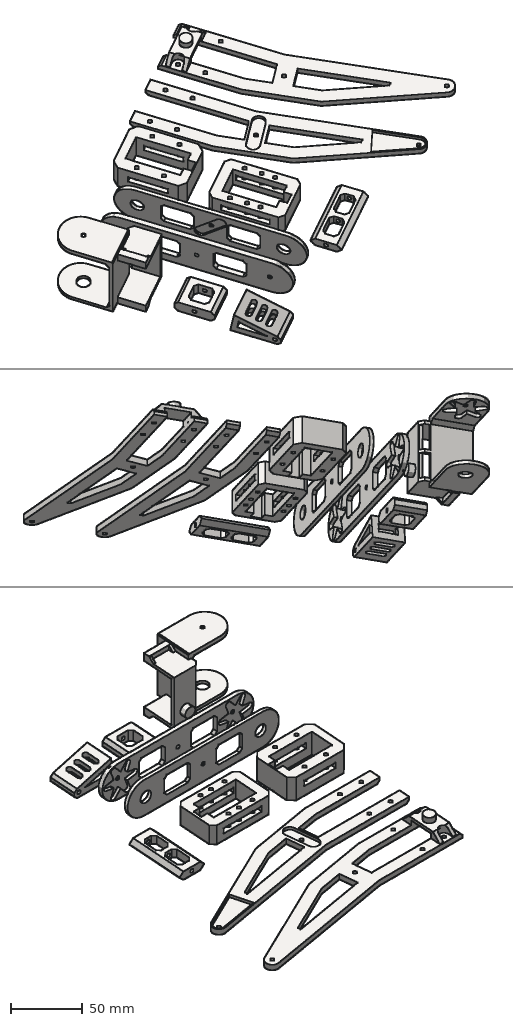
import cadquery as cq
import math

SCREW_D = 3.0
PIVOT_D = 10.0
PIN_D = 9.5
PIN_LENGTH = 5.0
CUT = 84.0
LIFT = 0.8


def box(x_range, y_range, z_range):
    """Block between the given limits."""
    size = [high - low for low, high in (x_range, y_range, z_range)]
    return cq.Workplane("XY").box(*size, centered=False).translate((x_range[0], y_range[0], z_range[0]))


def prism_z(points, bottom, top):
    """Outline in X and Y, extruded from bottom to top."""
    return cq.Workplane("XY").workplane(offset=bottom).polyline(points).close().extrude(top - bottom)


def prism_y(points, start, end):
    """Outline in X and Z, extruded along Y from start to end."""
    return cq.Workplane("XZ", origin=(0, start, 0)).polyline(points).close().extrude(start - end)


def rod_z(diameter, x, y, bottom, top):
    return cq.Workplane("XY", origin=(x, y, bottom)).circle(diameter / 2).extrude(top - bottom)


def rod_y(diameter, x, z, start, end):
    return cq.Workplane("XZ", origin=(x, start, z)).circle(diameter / 2).extrude(start - end)


def polar(center, radius, degrees):
    """Point at the given distance and direction from a center."""
    angle = math.radians(degrees)
    return (center[0] + radius * math.cos(angle), center[1] + radius * math.sin(angle))


def crossing(p, p_degrees, q, q_degrees):
    """Point where the line through p meets the line through q."""
    a, b = math.radians(p_degrees), math.radians(q_degrees)
    reach = ((q[0] - p[0]) * math.sin(b) - (q[1] - p[1]) * math.cos(b)) / math.sin(b - a)
    return polar(p, reach, p_degrees)


ARM_T = 5.0
ARM_SPAN = 40.3
RAIL_W = 10.0
ARM_BEND = 10.0
TIP = (196.0, 55.0)
TIP_R = 6.0
LOWER_BEND_X = 62.5
LOWER_KNEE_X = 119.0
CROSSBAR_X = 77.8
CROSSBAR_W = 14.8
CROSSBAR_HOLE = (86.2, 22.0)
UPPER_RAIL_W = 10.5
OPENING_END_X = 158.2
ARM_HOLE_X = (13.2, 33.5)
ARM_HOLE_PITCH = 30.2
ARM_END_BEVEL = 2.5
LOWER_ARM_Y = 164.5
ARM_STEP_Y = 55.0
UPPER_ARM_Y = LOWER_ARM_Y + ARM_STEP_Y

LOWER_KNEE = (LOWER_KNEE_X, (LOWER_KNEE_X - LOWER_BEND_X) * math.tan(math.radians(ARM_BEND)))
TIP_DX = TIP[0] - LOWER_KNEE[0]
TIP_DY = TIP[1] - LOWER_KNEE[1]
TIP_EDGE = math.degrees(math.atan2(TIP_DY, TIP_DX) - math.asin(TIP_R / math.hypot(TIP_DX, TIP_DY)))
ARM_HOLE_Y = [ARM_SPAN / 2 + side * ARM_HOLE_PITCH / 2 for side in (-1, 1)]


def arm_outline():
    upper_tangent = polar(TIP, TIP_R, ARM_BEND + 90)
    lower_tangent = polar(TIP, TIP_R, TIP_EDGE - 90)
    upper_bend = crossing((0, ARM_SPAN), 0, upper_tangent, ARM_BEND)
    return (
        cq.Workplane("XY")
        .polyline([(0, ARM_SPAN), (0, 0), (LOWER_BEND_X, 0), LOWER_KNEE, lower_tangent])
        .threePointArc(polar(TIP, TIP_R, (ARM_BEND + TIP_EDGE) / 2), upper_tangent)
        .lineTo(*upper_bend)
        .close()
        .extrude(ARM_T)
    )


def arm_openings():
    """Mouth between the straight rails, and the closed opening past the crossbar."""
    across = ARM_BEND - 90
    crossbar_left = (CROSSBAR_X, ARM_SPAN - RAIL_W)
    crossbar_right = polar(crossbar_left, CROSSBAR_W, ARM_BEND)
    lower_line = polar((LOWER_BEND_X, 0), RAIL_W, ARM_BEND + 90)
    upper_line = polar(TIP, TIP_R - UPPER_RAIL_W, ARM_BEND + 90)
    tip_line = polar(TIP, TIP_R - RAIL_W, TIP_EDGE - 90)
    mouth = [
        (0, RAIL_W),
        crossing((0, RAIL_W), 0, lower_line, ARM_BEND),
        crossing(crossbar_left, across, lower_line, ARM_BEND),
        crossbar_left,
        (0, ARM_SPAN - RAIL_W),
    ]
    closed = [
        crossing(crossbar_right, across, upper_line, ARM_BEND),
        crossing(crossbar_right, across, lower_line, ARM_BEND),
        crossing(lower_line, ARM_BEND, tip_line, TIP_EDGE),
        crossing((OPENING_END_X, 0), 90, tip_line, TIP_EDGE),
        crossing((OPENING_END_X, 0), 90, upper_line, ARM_BEND),
    ]
    return prism_z(mouth, 0, ARM_T).union(prism_z(closed, 0, ARM_T))


def arm_blank():
    arm = arm_outline().cut(arm_openings())
    spots = [TIP, CROSSBAR_HOLE] + [(x, y) for x in ARM_HOLE_X for y in ARM_HOLE_Y]
    for x, y in spots:
        arm = arm.cut(rod_z(SCREW_D, x, y, 0, ARM_T))
    return arm


def arm_end_bevel(edge_z):
    """Corner wedge to remove along the rail ends, at the top or bottom edge."""
    inward = ARM_T / 2 - edge_z
    corner = [
        (0, edge_z),
        (ARM_END_BEVEL, edge_z),
        (0, edge_z + math.copysign(ARM_END_BEVEL, inward)),
    ]
    return prism_y(corner, 0, ARM_SPAN)


BRIDGE_W = 15.7
BRIDGE_TOP = 12.0
BRIDGE_PLATE_T = 2.8
BRIDGE_INSET = 0.8
SCREW_SEAT_D = 9.0


def bridge():
    middle_x = ARM_HOLE_X[0]
    middle_y = ARM_SPAN / 2
    rise = BRIDGE_TOP - ARM_T
    left = middle_x - BRIDGE_W / 2
    profile = [
        (BRIDGE_INSET, ARM_T),
        (BRIDGE_INSET + rise, BRIDGE_TOP),
        (ARM_SPAN - BRIDGE_INSET - rise, BRIDGE_TOP),
        (ARM_SPAN - BRIDGE_INSET, ARM_T),
        (ARM_SPAN - RAIL_W, ARM_T),
        (ARM_SPAN - RAIL_W, BRIDGE_TOP - BRIDGE_PLATE_T),
        (RAIL_W, BRIDGE_TOP - BRIDGE_PLATE_T),
        (RAIL_W, ARM_T),
    ]
    body = cq.Workplane("YZ", origin=(left, 0, 0)).polyline(profile).close().extrude(BRIDGE_W)
    for y, outer in zip(ARM_HOLE_Y, (0, ARM_SPAN)):
        body = body.cut(rod_z(SCREW_SEAT_D, middle_x, y, ARM_T, BRIDGE_TOP))
        seat_x = (middle_x - SCREW_SEAT_D / 2, middle_x + SCREW_SEAT_D / 2)
        body = body.cut(box(seat_x, sorted((y, outer)), (ARM_T, BRIDGE_TOP)))
    return body.union(rod_z(PIN_D, middle_x, middle_y, BRIDGE_TOP - BRIDGE_PLATE_T, BRIDGE_TOP + PIN_LENGTH))


ARM_RECESS = 2.5
TIP_WALL = 1.0
TIP_RECESS_LENGTH = 33.0
ARM_SLOT_W = 10.0
ARM_SLOT_LENGTH = 30.8


def tip_recess():
    radius = TIP_R - TIP_WALL
    axis = (ARM_BEND + TIP_EDGE) / 2
    heel = polar(TIP, -TIP_RECESS_LENGTH, axis)
    upper_tangent = polar(TIP, radius, ARM_BEND + 90)
    lower_tangent = polar(TIP, radius, TIP_EDGE - 90)
    return (
        cq.Workplane("XY", origin=(0, 0, ARM_T - ARM_RECESS))
        .polyline([
            upper_tangent,
            crossing(heel, axis + 90, upper_tangent, ARM_BEND),
            crossing(heel, axis + 90, lower_tangent, TIP_EDGE),
            lower_tangent,
        ])
        .threePointArc(polar(TIP, radius, axis), upper_tangent)
        .close()
        .extrude(ARM_RECESS)
    )


def crossbar_slot():
    return (
        cq.Workplane("XY", origin=(*CROSSBAR_HOLE, ARM_T - ARM_RECESS))
        .slot2D(ARM_SLOT_LENGTH, ARM_SLOT_W, ARM_BEND - 90)
        .extrude(ARM_RECESS)
    )


def upper_arm():
    return arm_blank().cut(arm_end_bevel(ARM_T)).union(bridge()).translate((0, UPPER_ARM_Y, 0))


def lower_arm():
    arm = arm_blank().cut(arm_end_bevel(0)).cut(tip_recess()).cut(crossbar_slot())
    return arm.translate((0, LOWER_ARM_Y, 0))


FRAME_MIDDLE_Y = 130.0
SERVO_W = 20.7
CABLE_W = 8.0
SIDE_SLOT_H = 4.8


def servo_frame(x_range, width, top, corner, servo_x, cable_x, hole_xs, hole_pitch, slot_x, slot_z):
    half = width / 2
    frame = box(x_range, (FRAME_MIDDLE_Y - half, FRAME_MIDDLE_Y + half), (LIFT, top))
    frame = frame.edges("|Z").chamfer(corner)
    servo_y = (FRAME_MIDDLE_Y - SERVO_W / 2, FRAME_MIDDLE_Y + SERVO_W / 2)
    cable_y = (FRAME_MIDDLE_Y - CABLE_W / 2, FRAME_MIDDLE_Y + CABLE_W / 2)
    frame = frame.cut(box(servo_x, servo_y, (LIFT, top)))
    frame = frame.cut(box((servo_x[1], cable_x), cable_y, (LIFT, top)))
    for x in hole_xs:
        for side in (-1, 1):
            y = FRAME_MIDDLE_Y + side * hole_pitch / 2
            frame = frame.cut(rod_z(SCREW_D, x, y, LIFT, top))
    return frame.cut(box(slot_x, (FRAME_MIDDLE_Y - half, FRAME_MIDDLE_Y + half), (slot_z, slot_z + SIDE_SLOT_H)))


def wide_frame():
    return servo_frame(
        x_range=(7.0, 62.2), width=40.0, top=21.5, corner=4.8, servo_x=(14.0, 55.2), cable_x=61.3,
        hole_xs=(24.5, 44.8), hole_pitch=30.2, slot_x=(19.5, 49.5), slot_z=9.5,
    )


def narrow_frame():
    return servo_frame(
        x_range=(78.7, 135.8), width=37.0, top=18.0, corner=3.5, servo_x=(86.8, 127.5), cable_x=133.3,
        hole_xs=(94.0, 107.0, 117.0), hole_pitch=28.5, slot_x=(88.8, 125.5), slot_z=7.0,
    )


LINK_MIDDLE_X = 90.5
LINK_LENGTH = 145.0
LINK_H = 32.0
LINK_AXIS_PITCH = 110.0
LINK_AXIS_Z = LIFT + LINK_H / 2
LINK_AXES = [LINK_MIDDLE_X + side * LINK_AXIS_PITCH / 2 for side in (-1, 1)]
LINK_WINDOW = (25.0, 17.5)
LINK_WINDOW_OFFSET = 25.0
LINK_WINDOW_CORNER = 2.5
FRONT_LINK_Y = (60.0, 63.8)
BACK_LINK_Y = (86.8, 90.0)
LINK_SLOT_W = 8.5
LINK_SLOT_LENGTH = 30.8
LINK_SLOT_TILT = 45.0
LINK_SLOT_DEPTH = 1.7

HORN_ARMS = 6
HORN_NOTCH_R = 7.5
HORN_TIP_R = 16.0
HORN_TIP_HALF_W = 2.5
HORN_SKIN = 1.0


def horn(plane, depth):
    """Six tapered round-ended arms around the plane's origin."""
    step = 360 / HORN_ARMS
    outline = plane.moveTo(*polar((0, 0), HORN_NOTCH_R, -step / 2))
    for arm in range(HORN_ARMS):
        direction = arm * step
        tip_center = polar((0, 0), HORN_TIP_R - HORN_TIP_HALF_W, direction)
        outline = (
            outline
            .lineTo(*polar(tip_center, HORN_TIP_HALF_W, direction - 90))
            .threePointArc(
                polar(tip_center, HORN_TIP_HALF_W, direction),
                polar(tip_center, HORN_TIP_HALF_W, direction + 90),
            )
            .lineTo(*polar((0, 0), HORN_NOTCH_R, direction + step / 2))
        )
    return outline.close().extrude(depth)


def link_blank(y_range, axis_hole_d):
    """Round-ended plate with two windows, two axis holes and a middle screw hole."""
    start, end = y_range
    link = (
        cq.Workplane("XZ", origin=(LINK_MIDDLE_X, start, LINK_AXIS_Z))
        .slot2D(LINK_LENGTH, LINK_H)
        .extrude(start - end)
    )
    for side in (-1, 1):
        window = (
            cq.Workplane("XZ", origin=(LINK_MIDDLE_X + side * LINK_WINDOW_OFFSET, start, LINK_AXIS_Z))
            .rect(*LINK_WINDOW)
            .extrude(start - end)
            .edges("|Y")
            .chamfer(LINK_WINDOW_CORNER)
        )
        link = link.cut(window)
    for x in LINK_AXES:
        link = link.cut(rod_y(axis_hole_d, x, LINK_AXIS_Z, start, end))
    return link.cut(rod_y(SCREW_D, LINK_MIDDLE_X, LINK_AXIS_Z, start, end))


def front_link():
    link = link_blank(FRONT_LINK_Y, SCREW_D)
    depth = FRONT_LINK_Y[1] - FRONT_LINK_Y[0] - HORN_SKIN
    for x in LINK_AXES:
        link = link.cut(horn(cq.Workplane("XZ", origin=(x, FRONT_LINK_Y[1], LINK_AXIS_Z)), depth))
    return link


def back_link():
    slot = (
        cq.Workplane("XZ", origin=(LINK_MIDDLE_X, BACK_LINK_Y[0], LINK_AXIS_Z))
        .slot2D(LINK_SLOT_LENGTH, LINK_SLOT_W, LINK_SLOT_TILT)
        .extrude(-LINK_SLOT_DEPTH)
    )
    return link_blank(BACK_LINK_Y, PIVOT_D).cut(slot)


HIP_W = 32.0
HIP_Z = (5.0, 59.5)
HIP_LEFT_X = 4.2
HIP_AXIS_X = 22.5
HIP_WALL_X = (48.0, 50.7)
HIP_TOP_T = 4.0
HIP_BOTTOM_T = 2.8
HIP_TOP_BEVEL = 3.0
HIP_BOTTOM_BEVEL = 2.0
HIP_OUTER_BEVEL = 0.8


def hip_fork():
    """Two round-ended plates joined by an upright wall, with beveled inside corners."""
    bottom, top = HIP_Z
    inner_bottom = bottom + HIP_BOTTOM_T
    inner_top = top - HIP_TOP_T
    inner_x, outer_x = HIP_WALL_X
    profile = [
        (HIP_LEFT_X, bottom),
        (outer_x, bottom),
        (outer_x, top - HIP_OUTER_BEVEL),
        (outer_x - HIP_OUTER_BEVEL, top),
        (HIP_LEFT_X, top),
        (HIP_LEFT_X, inner_top),
        (inner_x - HIP_TOP_BEVEL, inner_top),
        (inner_x, inner_top - HIP_TOP_BEVEL),
        (inner_x, inner_bottom + HIP_BOTTOM_BEVEL),
        (inner_x - HIP_BOTTOM_BEVEL, inner_bottom),
        (HIP_LEFT_X, inner_bottom),
    ]
    plan = (
        cq.Workplane("XY", origin=(0, 0, bottom))
        .moveTo(outer_x, 0)
        .lineTo(HIP_LEFT_X + HIP_W / 2, 0)
        .threePointArc((HIP_LEFT_X, HIP_W / 2), (HIP_LEFT_X + HIP_W / 2, HIP_W))
        .lineTo(outer_x, HIP_W)
        .close()
        .extrude(top - bottom)
    )
    fork = prism_y(profile, 0, HIP_W).intersect(plan)
    fork = fork.cut(rod_z(SCREW_D, HIP_AXIS_X, HIP_W / 2, inner_top, top))
    fork = fork.cut(rod_z(PIVOT_D, HIP_AXIS_X, HIP_W / 2, bottom, inner_bottom))
    horn_plane = cq.Workplane("XY", origin=(HIP_AXIS_X, HIP_W / 2, inner_top))
    return fork.cut(horn(horn_plane, HIP_TOP_T - HORN_SKIN))


CRADLE_RIGHT_X = 72.0
CRADLE_Y = (9.0, 40.0)
CRADLE_INNER_Z = (11.0, 52.0)
CRADLE_SHELF_T = 2.8
CRADLE_LIP_T = 7.0
CRADLE_LIP_END_Y = 14.3
CRADLE_RIB_END_Y = 18.8
CRADLE_LEFT_RIB_W = 2.5
CRADLE_RIGHT_RIB_W = 2.0
CRADLE_BACK_T = 3.0
CRADLE_CORNER = 3.5
CRADLE_BAR_T = 2.5
CRADLE_PIN_Z = 21.0


def cradle_shelf(inner_z, direction):
    """Shelf above or below the servo, with a front lip carried by two sloped ribs."""
    outer_z = inner_z + direction * CRADLE_SHELF_T
    lip_z = inner_z + direction * CRADLE_LIP_T
    wall_x = HIP_WALL_X[1]
    shelf = box((wall_x, CRADLE_RIGHT_X), CRADLE_Y, sorted((inner_z, outer_z)))
    shelf = shelf.union(
        box((wall_x, CRADLE_RIGHT_X), (CRADLE_Y[0], CRADLE_LIP_END_Y), sorted((inner_z, lip_z)))
    )
    slope = [(CRADLE_LIP_END_Y, outer_z), (CRADLE_RIB_END_Y, outer_z), (CRADLE_LIP_END_Y, lip_z)]
    ribs = ((wall_x, CRADLE_LEFT_RIB_W), (CRADLE_RIGHT_X - CRADLE_RIGHT_RIB_W, CRADLE_RIGHT_RIB_W))
    for x, width in ribs:
        shelf = shelf.union(cq.Workplane("YZ", origin=(x, 0, 0)).polyline(slope).close().extrude(width))
    return shelf


def cradle():
    low, high = CRADLE_INNER_Z
    outer_z = (low - CRADLE_SHELF_T, high + CRADLE_SHELF_T)
    inner_x, outer_x = HIP_WALL_X
    back_y = (CRADLE_Y[1] - CRADLE_BACK_T, CRADLE_Y[1])
    body = box((inner_x, outer_x), (HIP_W, CRADLE_Y[1]), outer_z)
    body = body.union(box((outer_x, CRADLE_RIGHT_X), back_y, outer_z))
    body = body.union(cradle_shelf(low, -1)).union(cradle_shelf(high, 1))
    body = body.edges("|Z and <X and >Y").chamfer(CRADLE_CORNER)
    middle_z = (low + high) / 2
    half_bar = CRADLE_BAR_T / 2
    for z_range in ((low, middle_z - half_bar), (middle_z + half_bar, high)):
        body = body.cut(box((inner_x, outer_x), (HIP_W, CRADLE_Y[1]), z_range))
    pin_x = (outer_x + CRADLE_RIGHT_X) / 2
    return body.union(rod_y(PIN_D, pin_x, CRADLE_PIN_Z, back_y[0], CRADLE_Y[1] + PIN_LENGTH))


def hip_bracket():
    return hip_fork().union(cradle())


SPACER_WINDOW_CORNER = 2.5


def spacer(x_range, y_range, z_range, bevel_points, window_x, windows_y):
    """Bar with beveled long edges, windows from top to bottom and a screw hole along Y."""
    body = prism_y(bevel_points, *y_range)
    for y_limits in windows_y:
        window = box(window_x, y_limits, z_range).edges("|Z").chamfer(SPACER_WINDOW_CORNER)
        body = body.cut(window)
    middle_x = (x_range[0] + x_range[1]) / 2
    middle_z = (z_range[0] + z_range[1]) / 2
    return body.cut(rod_y(SCREW_D, middle_x, middle_z, *y_range))


def long_spacer():
    left, right = x_range = (156.5, 180.3)
    bottom, top = z_range = (LIFT, 8.5)
    bevel = (top - bottom) / 2
    points = [
        (left, bottom + bevel), (left + bevel, top), (right - bevel, top),
        (right, bottom + bevel), (right - bevel, bottom), (left + bevel, bottom),
    ]
    return spacer(x_range, (110.0, 161.8), z_range, points, (162.7, 174.2), ((116.8, 133.5), (137.8, 155.5)))


def short_spacer():
    left, right = x_range = (90.0, 120.0)
    bottom, top = z_range = (4.0, 13.7)
    bevel = 2.8
    points = [
        (left, bottom + bevel), (left, top - bevel), (left + bevel, top), (right - bevel, top),
        (right, top - bevel), (right, bottom + bevel), (right - bevel, bottom), (left + bevel, bottom),
    ]
    return spacer(x_range, (18.0, 42.5), z_range, points, (97.7, 113.0), ((23.2, 38.0),))


FOOT_Y = (18.0, 42.5)
FOOT_HEEL = (132.0, 0.0)
FOOT_PEAK = (134.7, 18.2)
FOOT_SLOPE = -16.5
FOOT_NOSE_X = 170.0
FOOT_NOSE_BEVEL = 2.5
FOOT_TUNNEL_FLOOR = 5.5
FOOT_TUNNEL_HEEL = (138.0, 12.0)
FOOT_TUNNEL_HEEL_X = 137.2
FOOT_WINDOW_Y = (23.0, 37.5)
FOOT_HOLE = (165.5, 4.5)
FOOT_SLOT_W = 4.2
FOOT_SLOT_LENGTH = 15.0
FOOT_SLOT_TILT = 10.0
FOOT_SLOT_X = (143.0, 151.0, 158.5)


def foot():
    nose_top = crossing(FOOT_PEAK, FOOT_SLOPE, (FOOT_NOSE_X - FOOT_NOSE_BEVEL, 0), 90)
    outline = [
        FOOT_HEEL,
        FOOT_PEAK,
        nose_top,
        (FOOT_NOSE_X, nose_top[1] - FOOT_NOSE_BEVEL),
        (FOOT_NOSE_X, FOOT_NOSE_BEVEL),
        (FOOT_NOSE_X - FOOT_NOSE_BEVEL, 0),
    ]
    body = prism_y(outline, *FOOT_Y)
    tunnel = [
        (FOOT_TUNNEL_HEEL_X, FOOT_TUNNEL_FLOOR),
        FOOT_TUNNEL_HEEL,
        crossing(FOOT_TUNNEL_HEEL, FOOT_SLOPE, (0, FOOT_TUNNEL_FLOOR), 0),
    ]
    body = body.cut(prism_y(tunnel, *FOOT_Y))
    window_x = (FOOT_HEEL[0], FOOT_TUNNEL_HEEL[0])
    window_z = (FOOT_TUNNEL_FLOOR, FOOT_TUNNEL_HEEL[1])
    body = body.cut(box(window_x, FOOT_WINDOW_Y, window_z))
    body = body.cut(rod_y(SCREW_D, *FOOT_HOLE, *FOOT_Y))
    return body.cut(foot_slots())


def foot_slots():
    """Row of leaning slots from the sloped top face down through the foot."""
    middle_y = sum(FOOT_Y) / 2
    normal = polar((0, 0), 1, 90 - FOOT_SLOT_TILT)
    slots = cq.Workplane("XY")
    for x in FOOT_SLOT_X:
        top = crossing(FOOT_PEAK, FOOT_SLOPE, (x, 0), 90)
        plane = cq.Plane(origin=(x, middle_y, top[1]), xDir=(0, 1, 0), normal=(normal[0], 0, normal[1]))
        slots = slots.add(
            cq.Workplane(plane).slot2D(FOOT_SLOT_LENGTH, FOOT_SLOT_W).extrude(CUT, both=True)
        )
    return slots.combine()


bodies = [
    upper_arm(), lower_arm(), wide_frame(), narrow_frame(), front_link(), back_link(),
    hip_bracket(), long_spacer(), short_spacer(), foot(),
]
result = cq.Compound.makeCompound([solid for body in bodies for solid in body.solids().vals()])